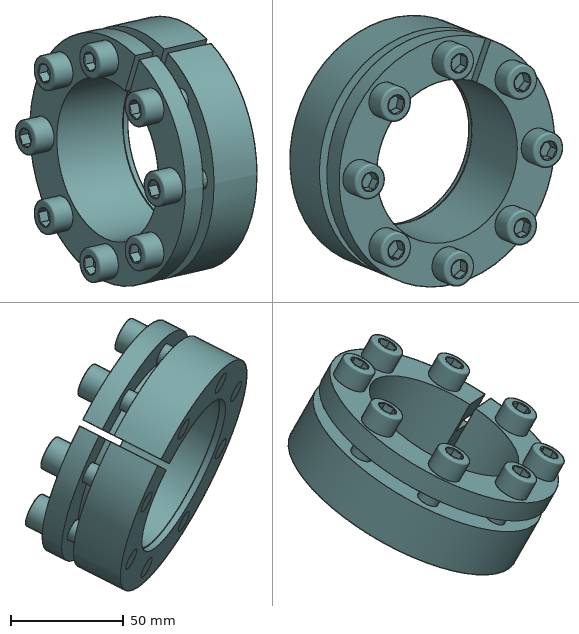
import cadquery as cq
import math

OUTER_DIAMETER = 114.9
BORE_DIAMETER = 74.9
RING_LENGTH = 24.0
GAP_LENGTH = 6.0
FLANGE_LENGTH = 10.0
NECK_FRONT_DIAMETER = 84.4
NECK_REAR_DIAMETER = 83.1

REAR_BORE_DIAMETER = 75.9
REAR_BORE_DEPTH = 3.0

SLIT_WIDTH = 3.1
SLIT_ANGLE = 22.5

SCREW_COUNT = 8
BOLT_CIRCLE_DIAMETER = 95.0
SHANK_DIAMETER = 10.0
HEAD_DIAMETER = 16.0
HEAD_LENGTH = 10.0
HEAD_FILLET = 1.0
SOCKET_SIDES = 6
SOCKET_CORNERS = 9.0
SOCKET_DEPTH = 5.0
HEX_TURN = 180 / SOCKET_SIDES
COUNTERSINK_ANGLE = 30

FLANGE_FRONT = HEAD_LENGTH
FLANGE_REAR = FLANGE_FRONT + FLANGE_LENGTH
RING_FRONT = FLANGE_REAR + GAP_LENGTH
RING_REAR = RING_FRONT + RING_LENGTH
SCREW_END = RING_REAR


def cylinder(diameter, start, end):
    """Solid cylinder on the Y axis between two Y stations."""
    return cq.Workplane("XZ", origin=(0, start, 0)).circle(diameter / 2).extrude(start - end)


def make_clamp():
    """Revolve the stepped profile, then cut the rear counterbore, slit and screw holes."""
    outer = OUTER_DIAMETER / 2
    bore = BORE_DIAMETER / 2
    profile = [
        (bore, FLANGE_FRONT),
        (outer, FLANGE_FRONT),
        (outer, FLANGE_REAR),
        (NECK_FRONT_DIAMETER / 2, FLANGE_REAR),
        (NECK_REAR_DIAMETER / 2, RING_FRONT),
        (outer, RING_FRONT),
        (outer, RING_REAR),
        (bore, RING_REAR),
    ]
    body = cq.Workplane("XY").polyline(profile).close().revolve(360, (0, 0, 0), (0, 1, 0))
    rear_bore = cylinder(REAR_BORE_DIAMETER, RING_REAR - REAR_BORE_DEPTH, RING_REAR)
    slit = (
        cq.Workplane("XY")
        .box(SLIT_WIDTH, RING_REAR, OUTER_DIAMETER, centered=(True, False, False))
        .rotate((0, 0, 0), (0, 1, 0), SLIT_ANGLE)
    )
    body = body.cut(rear_bore).cut(slit)
    hole = cylinder(SHANK_DIAMETER, FLANGE_FRONT, SCREW_END)
    for index in range(SCREW_COUNT):
        body = body.cut(on_bolt_circle(hole, index))
    return body


def make_screw():
    """Socket head screw on the Y axis, head toward -Y."""
    head = cylinder(HEAD_DIAMETER, 0, FLANGE_FRONT).faces("<Y").edges().fillet(HEAD_FILLET)
    shank = cylinder(SHANK_DIAMETER, FLANGE_FRONT, SCREW_END)
    socket = (
        cq.Workplane("XZ")
        .polygon(SOCKET_SIDES, SOCKET_CORNERS)
        .extrude(-SOCKET_DEPTH)
        .rotate((0, 0, 0), (0, 1, 0), HEX_TURN)
    )
    mouth_radius = SOCKET_CORNERS / 2
    cone_depth = mouth_radius * math.tan(math.radians(COUNTERSINK_ANGLE))
    countersink = (
        cq.Workplane("XY")
        .polyline([(0, 0), (mouth_radius, 0), (0, cone_depth)])
        .close()
        .revolve(360, (0, 0, 0), (0, 1, 0))
    )
    return head.union(shank).cut(socket).cut(countersink)


def on_bolt_circle(shape, index):
    """Move a shape from the Y axis to one screw position, turning it about the Y axis."""
    angle = 360 * index / SCREW_COUNT
    return shape.translate((0, 0, BOLT_CIRCLE_DIAMETER / 2)).rotate((0, 0, 0), (0, 1, 0), angle)


clamp = make_clamp()
screw = make_screw()
screws = [on_bolt_circle(screw, index) for index in range(SCREW_COUNT)]

result = cq.Compound.makeCompound([clamp.val(), *[item.val() for item in screws]])